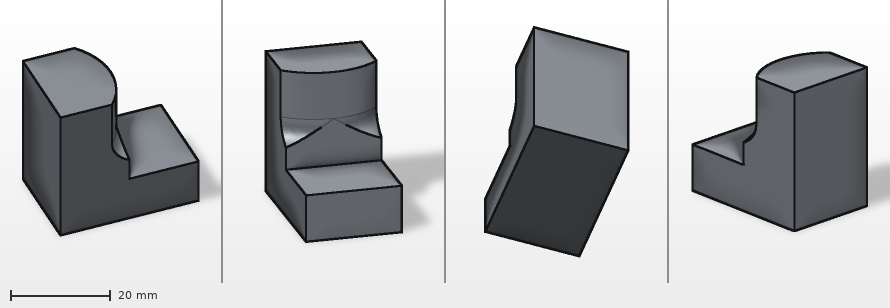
import cadquery as cq

width = 20.0
depth = 30.0
height = 30.0

foot_height = 10.0
upright_depth = 15.0

round_radius = upright_depth
flare_top = 20.0
flare_radius = 6.0


def l_block():
    """L-shaped body with its front face on Y = 0, centred on X = 0."""
    return (
        cq.Workplane("YZ")
        .moveTo(0, 0)
        .lineTo(depth, 0)
        .lineTo(depth, foot_height)
        .lineTo(upright_depth, foot_height)
        .lineTo(upright_depth, height)
        .lineTo(0, height)
        .close()
        .extrude(width / 2, both=True)
    )


def rounding_cutter():
    """Ring around the Z axis that rounds the upright and forms the flare below."""
    flare_end_radius = round_radius + flare_radius
    return (
        cq.Workplane("XZ")
        .moveTo(round_radius, height)
        .lineTo(round_radius, flare_top)
        .radiusArc((flare_end_radius, flare_top - flare_radius), -flare_radius)
        .lineTo(flare_end_radius, height)
        .close()
        .revolve(360, (0, 0, 0), (0, 1, 0))
    )


result = l_block().cut(rounding_cutter()).translate((0, -depth / 2, 0))